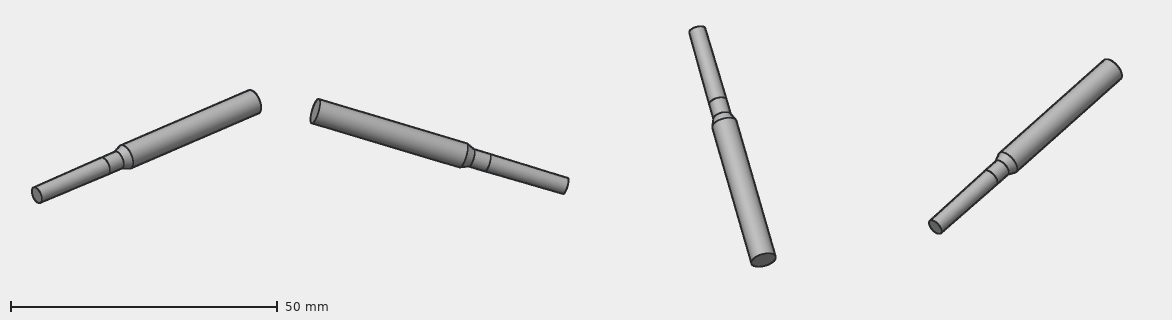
import cadquery as cq
import math

overall_length = 50.8
shank_diameter = 4.8
shank_length = 30.0
cone_length = 1.7
neck_diameter = 3.45
neck_length = 3.25
tip_taper_angle = 0.5

shank_radius = shank_diameter / 2
neck_radius = neck_diameter / 2

shank_front = overall_length - shank_length
cone_front = shank_front - cone_length
neck_front = cone_front - neck_length

tip_end_radius = neck_radius - neck_front * math.tan(math.radians(tip_taper_angle))


def make_holder():
    """Cylindrical shank that narrows through a cone to a short neck."""
    return (
        cq.Workplane("XY")
        .moveTo(0, neck_front)
        .lineTo(-neck_radius, neck_front)
        .lineTo(-neck_radius, cone_front)
        .lineTo(-shank_radius, shank_front)
        .lineTo(-shank_radius, overall_length)
        .lineTo(0, overall_length)
        .close()
        .revolve(360, (0, 0), (0, 1))
    )


def make_tip():
    """Slender rod, flush with the neck and tapering slightly to its flat end."""
    return (
        cq.Workplane("YZ")
        .moveTo(0, 0)
        .lineTo(0, tip_end_radius)
        .lineTo(neck_front, neck_radius)
        .lineTo(neck_front, 0)
        .close()
        .revolve(360, (0, 0), (1, 0))
    )


holder = make_holder()
tip = make_tip()
result = cq.Compound.makeCompound([holder.val(), tip.val()])